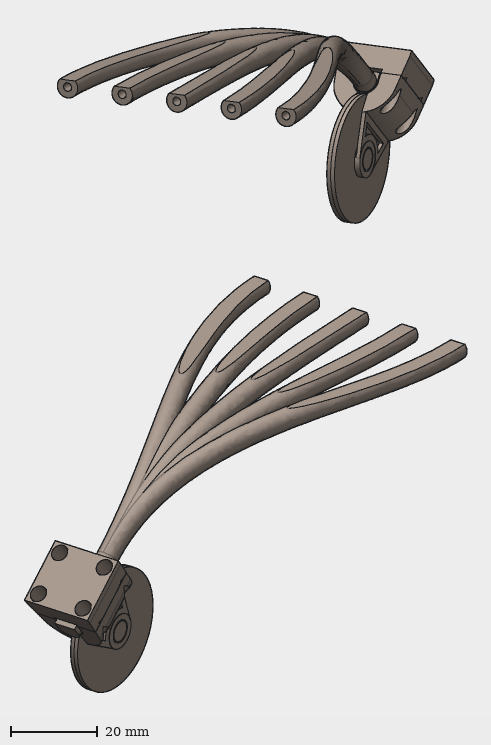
import cadquery as cq
import math


TILT = 40.0

CLAMP_LENGTH = 16.0
UPPER_HEIGHT = 6.5
RIM_HEIGHT = 1.5
TOP_HALF_WIDTH = 8.9
BELLY_RADIUS = 7.8
BELLY_Z = -2.6
SCREW_X = 6.3
SCREW_Y = CLAMP_LENGTH / 2 - 2.5
INSERT_HOLE_DIAMETER = 4.0
SCREW_HOLE_DIAMETER = 3.2

STEM_WIDTH = 5.6
STEM_BOTTOM_Z = -5.3
STEM_REAR_OVERHANG = 1.0
SEAT_CLEARANCE = 0.3
SEAT_ROOF_Z = 0.9
COLLAR_LENGTH = 3.0

WHEEL_Z = -18.5
WHEEL_DIAMETER = 30.0
DISC_THICKNESS = 1.0
AXLE_DIAMETER = 5.0
HUB_BORE_DIAMETER = 5.6
HUB_DIAMETER = 8.6
FORK_HALF_WIDTH = 2.3
HUB_FACE_X = FORK_HALF_WIDTH + 0.1
WHEEL_SLOT_WIDTH = 2.6
WHEEL_RELIEF_DIAMETER = WHEEL_DIAMETER + 1.0
WINDOW_MARGIN = 1.5
WINDOW_ROOT_MARGIN = 1.7

TINE_DIAMETER = 5.2
TINE_BORE_DIAMETER = 2.0
OUTER_TINE_X = 27.75
TINE_REACH = 100.17
TINE_RISE = 20.3
TINE_FLAT_HEIGHT = 1.7
ROOT_PULLS = (31.3, 34.5, 37.0)
TIP_PULLS = (46.3, 34.8, 35.2)

HALF_LENGTH = CLAMP_LENGTH / 2
COLLAR_Z = STEM_BOTTOM_Z + TINE_DIAMETER / 2
COLLAR_END_Y = -HALF_LENGTH - COLLAR_LENGTH


def tilted(body):
    return body.rotate((0, 0, 0), (1, 0, 0), -TILT)


def along_x(diameter, x_start, x_end):
    """A cylinder about the wheel's axis."""
    return (
        cq.Workplane("YZ", origin=(x_start, 0, 0))
        .center(0, WHEEL_Z)
        .circle(diameter / 2)
        .extrude(x_end - x_start)
    )


def extruded_along_y(sketch, y_start, y_end):
    """Extrudes an XZ outline from y_start to y_end."""
    return sketch.extrude(y_start - y_end).translate((0, y_start, 0))



def clamp_blank():
    rim_z = UPPER_HEIGHT - RIM_HEIGHT
    rise = rim_z - BELLY_Z
    reach = math.hypot(TOP_HALF_WIDTH, rise)
    lean = math.acos(BELLY_RADIUS / reach) - math.atan2(rise, TOP_HALF_WIDTH)
    tangent_x = BELLY_RADIUS * math.cos(lean)
    tangent_z = BELLY_Z - BELLY_RADIUS * math.sin(lean)
    outline = (
        cq.Workplane("XZ")
        .moveTo(-TOP_HALF_WIDTH, UPPER_HEIGHT)
        .lineTo(TOP_HALF_WIDTH, UPPER_HEIGHT)
        .lineTo(TOP_HALF_WIDTH, rim_z)
        .lineTo(tangent_x, tangent_z)
        .threePointArc((0, BELLY_Z - BELLY_RADIUS), (-tangent_x, tangent_z))
        .lineTo(-TOP_HALF_WIDTH, rim_z)
        .close()
    )
    return extruded_along_y(outline, -HALF_LENGTH, HALF_LENGTH)


def half_space(z_low, z_high):
    size = 2 * CLAMP_LENGTH
    return cq.Workplane("XY", origin=(0, 0, z_low)).rect(size, size).extrude(z_high - z_low)


def u_outline(width, bottom_z, top_z):
    """A flat-topped U in the XZ plane."""
    radius = width / 2
    return (
        cq.Workplane("XZ")
        .moveTo(-radius, top_z)
        .lineTo(radius, top_z)
        .lineTo(radius, bottom_z + radius)
        .threePointArc((0, bottom_z), (-radius, bottom_z + radius))
        .close()
    )


def stem_seat():
    outline = u_outline(STEM_WIDTH + 2 * SEAT_CLEARANCE, STEM_BOTTOM_Z - SEAT_CLEARANCE, SEAT_ROOF_Z)
    return extruded_along_y(outline, -HALF_LENGTH, HALF_LENGTH)


def clamp_holes(diameter):
    return (
        cq.Workplane("XY", origin=(0, 0, -CLAMP_LENGTH))
        .rect(2 * SCREW_X, 2 * SCREW_Y, forConstruction=True)
        .vertices()
        .circle(diameter / 2)
        .extrude(2 * CLAMP_LENGTH)
    )


def make_upper_clamp():
    block = clamp_blank().intersect(half_space(0, UPPER_HEIGHT))
    return block.cut(stem_seat()).cut(clamp_holes(INSERT_HOLE_DIAMETER))



FORK_ROOT_Z = BELLY_Z - math.sqrt(BELLY_RADIUS**2 - FORK_HALF_WIDTH**2)
FORK_DROP = FORK_ROOT_Z - WHEEL_Z

FLANK_ANGLE = math.atan2(FORK_DROP, HALF_LENGTH) - math.acos(
    HUB_DIAMETER / 2 / math.hypot(HALF_LENGTH, FORK_DROP)
)


def fork_profile_extruded(points):
    """Extrudes a YZ outline, given from the axle and mirrored in Y, across both fork plates."""
    mirrored = [(-y, z) for y, z in reversed(points)]
    return (
        cq.Workplane("YZ", origin=(-FORK_HALF_WIDTH, 0, 0))
        .center(0, WHEEL_Z)
        .polyline(points + mirrored)
        .close()
        .extrude(2 * FORK_HALF_WIDTH)
    )


def fork_block():
    hub_radius = HUB_DIAMETER / 2
    return fork_profile_extruded(
        [
            (HALF_LENGTH, FORK_DROP),
            (hub_radius * math.cos(FLANK_ANGLE), hub_radius * math.sin(FLANK_ANGLE)),
        ]
    )


def fork_windows():
    """Openings framed by bands along the root, the flanks and the hub."""
    flank_distance = HUB_DIAMETER / 2 - WINDOW_MARGIN
    top = FORK_DROP - WINDOW_ROOT_MARGIN
    top_y = (flank_distance - top * math.sin(FLANK_ANGLE)) / math.cos(FLANK_ANGLE)
    axle_level_y = flank_distance / math.cos(FLANK_ANGLE)
    opening = fork_profile_extruded([(top_y, top), (axle_level_y, 0)])
    hub_band = along_x(HUB_DIAMETER + 2 * WINDOW_MARGIN, -FORK_HALF_WIDTH, FORK_HALF_WIDTH)
    return opening.cut(hub_band)


def make_cheek(side):
    """One of the two lower clamp jaws, each with its fork plate and hub."""
    block = clamp_blank().intersect(half_space(-CLAMP_LENGTH, 0))
    block = block.cut(clamp_holes(SCREW_HOLE_DIAMETER)).cut(stem_seat())
    block = block.union(fork_block().cut(fork_windows()))
    inner_face = WHEEL_SLOT_WIDTH / 2
    one_side = cq.Workplane("XY").box(CLAMP_LENGTH, 3 * CLAMP_LENGTH, 6 * CLAMP_LENGTH)
    one_side = one_side.translate((inner_face + CLAMP_LENGTH / 2, 0, 0))
    cheek = block.intersect(one_side)
    cheek = cheek.union(along_x(HUB_DIAMETER, DISC_THICKNESS, HUB_FACE_X))
    cheek = cheek.cut(along_x(HUB_BORE_DIAMETER, 0, HUB_FACE_X))
    return cheek if side > 0 else cheek.mirror("YZ")



def make_wheel_disc(side):
    disc = along_x(WHEEL_DIAMETER, 0, DISC_THICKNESS).cut(along_x(AXLE_DIAMETER, 0, DISC_THICKNESS))
    return disc if side > 0 else disc.mirror("YZ")


def make_axle():
    return along_x(AXLE_DIAMETER, -HUB_FACE_X, HUB_FACE_X)



def untilted(y, z):
    """Turns a world direction in the YZ plane into the untilted frame."""
    angle = math.radians(TILT)
    return cq.Vector(
        0,
        y * math.cos(angle) - z * math.sin(angle),
        y * math.sin(angle) + z * math.cos(angle),
    )


ROOT_POINT = cq.Vector(0, COLLAR_END_Y, COLLAR_Z)
MIDDLE_TIP = ROOT_POINT + untilted(-TINE_REACH, TINE_RISE)

TINE_STEPS = (-2, 0, -1, 1, 2)
TINE_SPACING = OUTER_TINE_X / max(TINE_STEPS)


def tine_rod(step, diameter):
    """A round rod that leaves along the stem and bends until its tip points along world -Y."""
    tip = MIDDLE_TIP + cq.Vector(step * TINE_SPACING, 0, 0)
    path = cq.Edge.makeBezier(
        [
            ROOT_POINT,
            ROOT_POINT + cq.Vector(0, -ROOT_PULLS[abs(step)], 0),
            tip + untilted(TIP_PULLS[abs(step)], 0),
            tip,
        ]
    )
    section = cq.Workplane("XZ", origin=ROOT_POINT.toTuple()).circle(diameter / 2)
    return section.sweep(cq.Workplane(obj=path))


def tine_bundle():
    bundle = tine_rod(TINE_STEPS[0], TINE_DIAMETER)
    for step in TINE_STEPS[1:]:
        bundle = bundle.union(tine_rod(step, TINE_DIAMETER), clean=False)
    for step in TINE_STEPS:
        bundle = bundle.cut(tine_rod(step, TINE_BORE_DIAMETER), clean=False)
    return bundle


def flat_cutter():
    """Everything above the flat tops of the tines."""
    size = 4 * TINE_REACH
    plane = cq.Plane(
        origin=(MIDDLE_TIP + untilted(0, TINE_FLAT_HEIGHT)).toTuple(),
        xDir=(1, 0, 0),
        normal=untilted(0, 1).toTuple(),
    )
    return cq.Workplane(plane).rect(size, size).extrude(TINE_DIAMETER)


def make_stem():
    shank = extruded_along_y(
        u_outline(STEM_WIDTH, STEM_BOTTOM_Z, 0), -HALF_LENGTH, HALF_LENGTH + STEM_REAR_OVERHANG
    )
    shank = shank.cut(along_x(WHEEL_RELIEF_DIAMETER, -WHEEL_SLOT_WIDTH / 2, WHEEL_SLOT_WIDTH / 2))
    collar = extruded_along_y(
        cq.Workplane("XZ").center(0, COLLAR_Z).circle(TINE_DIAMETER / 2), COLLAR_END_Y, -HALF_LENGTH
    )
    tines = tine_bundle().cut(flat_cutter())
    return shank.union(collar).union(tines)


upper_clamp = tilted(make_upper_clamp())
stem = tilted(make_stem())
axle = tilted(make_axle())
sides = (-1, 1)
cheeks = [tilted(make_cheek(side)) for side in sides]
wheel_discs = [tilted(make_wheel_disc(side)) for side in sides]

result = cq.Compound.makeCompound(
    [body.val() for body in (upper_clamp, stem, axle, *cheeks, *wheel_discs)]
)